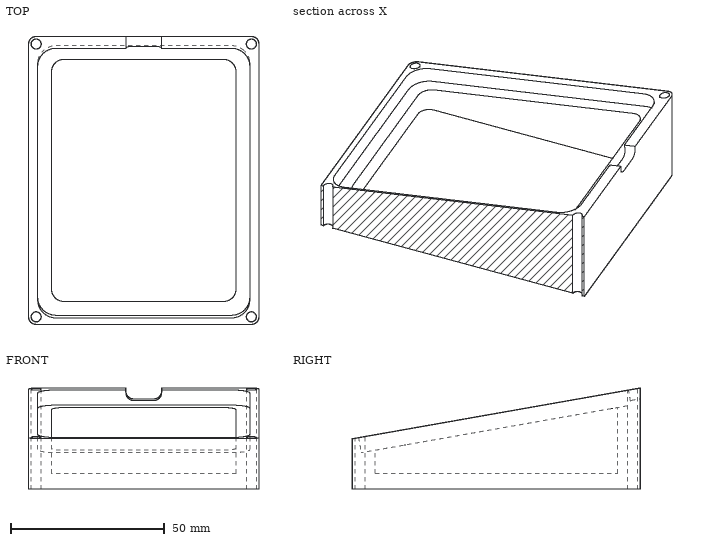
import cadquery as cq
import math

WIDTH = 75.0
LENGTH = 93.71
REAR_HEIGHT = 32.88
SLOPE_ANGLE = 10.0
CORNER_RADIUS = 2.5

RECESS_MARGIN = 3.0
RECESS_DEPTH = 5.0
RECESS_CORNER_RADIUS = 6.0

POCKET_MARGIN = 7.5
POCKET_CORNER_RADIUS = 4.0
FLOOR_THICKNESS = 5.0

SCREW_DIAMETER = 3.2
SCREW_INSET = CORNER_RADIUS

NOTCH_WIDTH = 11.6
NOTCH_DEPTH = 3.5
NOTCH_CORNER_RADIUS = 2.5

SLOPE = math.radians(SLOPE_ANGLE)
FRONT_HEIGHT = REAR_HEIGHT - LENGTH * math.tan(SLOPE)
MID_HEIGHT = (REAR_HEIGHT + FRONT_HEIGHT) / 2
SLOPE_LENGTH = LENGTH / math.cos(SLOPE)
TOP_NORMAL = (0, -math.sin(SLOPE), math.cos(SLOPE))


def rounded_box(plane, width, length, height, radius):
    """Box standing on the plane, with the edges along the plane normal rounded."""
    outline = cq.Workplane(plane).sketch().rect(width, length).vertices().fillet(radius).finalize()
    return outline.extrude(height)


def body():
    """Upright block with rounded corners, cut off along the slope."""
    block = rounded_box("XY", WIDTH, LENGTH, REAR_HEIGHT, CORNER_RADIUS)
    wedge = (
        cq.Workplane("YZ")
        .moveTo(-LENGTH / 2, 0)
        .lineTo(LENGTH / 2, 0)
        .lineTo(LENGTH / 2, REAR_HEIGHT)
        .lineTo(-LENGTH / 2, FRONT_HEIGHT)
        .close()
        .extrude(WIDTH / 2, both=True)
    )
    return block.intersect(wedge)


def lid_recess():
    """Recess whose floor outline keeps an even margin to the outer walls in plan."""
    floor_height = MID_HEIGHT - RECESS_DEPTH / math.cos(SLOPE)
    floor_plane = cq.Plane(origin=(0, 0, floor_height), xDir=(1, 0, 0), normal=TOP_NORMAL)
    width = WIDTH - 2 * RECESS_MARGIN
    length = (LENGTH - 2 * RECESS_MARGIN) / math.cos(SLOPE)
    return rounded_box(floor_plane, width, length, 2 * RECESS_DEPTH, RECESS_CORNER_RADIUS)


def main_pocket():
    """Pocket from the level floor up through the recess."""
    floor_plane = cq.Plane.XY(origin=(0, 0, FLOOR_THICKNESS))
    width = WIDTH - 2 * POCKET_MARGIN
    length = LENGTH - 2 * POCKET_MARGIN
    return rounded_box(floor_plane, width, length, REAR_HEIGHT, POCKET_CORNER_RADIUS)


def screw_holes():
    """Vertical through holes at the four corners."""
    return (
        cq.Workplane("XY")
        .rect(WIDTH - 2 * SCREW_INSET, LENGTH - 2 * SCREW_INSET, forConstruction=True)
        .vertices()
        .circle(SCREW_DIAMETER / 2)
        .extrude(REAR_HEIGHT)
    )


def cable_notch():
    """Notch with rounded lower corners, from mid-case out past the rear wall."""
    along_slope = (0, math.cos(SLOPE), math.sin(SLOPE))
    section_plane = cq.Plane(origin=(0, 0, MID_HEIGHT), xDir=(1, 0, 0), normal=along_slope)
    return rounded_box(section_plane, NOTCH_WIDTH, 2 * NOTCH_DEPTH, SLOPE_LENGTH, NOTCH_CORNER_RADIUS)


result = body().cut(lid_recess()).cut(main_pocket()).cut(screw_holes()).cut(cable_notch())